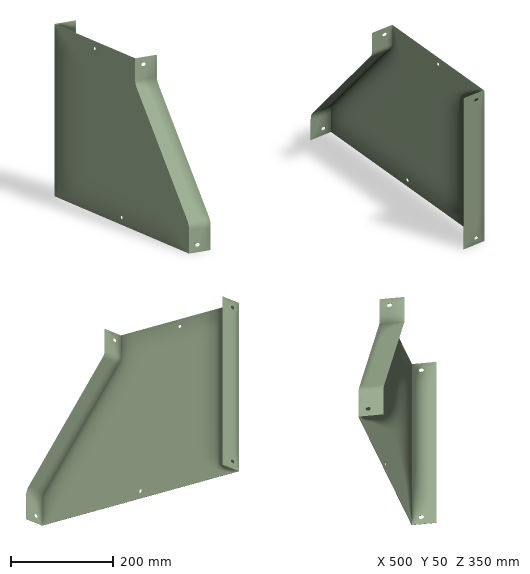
import cadquery as cq

length = 500.0
depth = 50.0
height = 350.0
sheet = 0.8

top_length = 300.0
upper_bend_z = 298.5
lower_bend_z = 58.5
upper_bend_radius = 20.0
lower_bend_radius = 30.0

hole_edge_distance = 15.0
face_hole_diameter = 7.0
flange_slot_y = 19.5
flange_slot_length = 10.0
flange_slot_height = 7.0

hole_levels = (hole_edge_distance, height - hole_edge_distance)


def make_block():
    """Solid prism with the outline of the face and rounded bends."""
    block = (
        cq.Workplane("XZ")
        .polyline([
            (0, 0),
            (length, 0),
            (length, lower_bend_z),
            (top_length, upper_bend_z),
            (top_length, height),
            (0, height),
        ])
        .close()
        .extrude(-depth)
    )
    for x, z, radius in (
        (length, lower_bend_z, lower_bend_radius),
        (top_length, upper_bend_z, upper_bend_radius),
    ):
        bend_edge = cq.selectors.NearestToPointSelector((x, depth / 2, z))
        block = block.edges("|Y").edges(bend_edge).fillet(radius)
    return block


def make_shell():
    """Front face with side flanges, open at the back, top and bottom."""
    return make_block().faces(">Y or >Z or <Z").shell(-sheet)


def face_holes():
    """Round holes centred along the bottom and top edges of the face."""
    bottom_level, top_level = hole_levels
    return (
        cq.Workplane("XZ")
        .pushPoints([(length / 2, bottom_level), (top_length / 2, top_level)])
        .circle(face_hole_diameter / 2)
        .extrude(-depth)
    )


def flange_slots():
    """Slots passing through both side flanges."""
    return (
        cq.Workplane("YZ")
        .pushPoints([(flange_slot_y, z) for z in hole_levels])
        .slot2D(flange_slot_length, flange_slot_height)
        .extrude(length)
    )


result = make_shell().cut(face_holes()).cut(flange_slots())